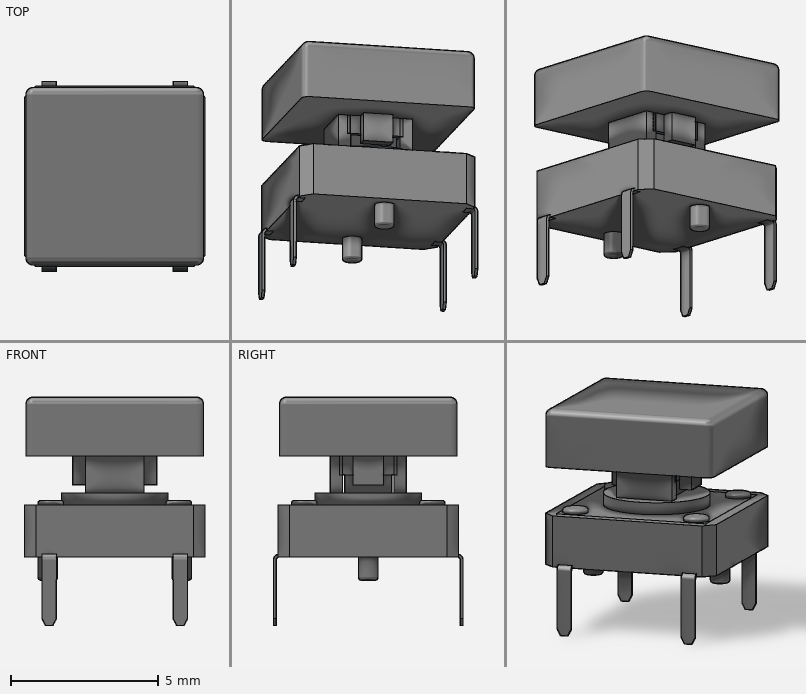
import cadquery as cq

housing_side = 6.14
housing_height = 1.77
housing_corner = 0.39
housing_bottom = 2.33
housing_top = housing_bottom + housing_height
peg_diameter = 0.67
peg_length = 0.79
peg_edge = 0.1
peg_offset = 2.27

plate_side = 5.37
plate_thickness = 0.2
plate_bottom = housing_top - plate_thickness
rivet_diameter = 0.87
rivet_height = 0.155
rivet_edge = 0.09
rivet_offset = 2.17
collar_diameter = 3.63
collar_height = 0.41
collar_top = housing_top + collar_height
post_side = 1.6

total_height = 7.76
cap_side = 6.04
cap_height = 2.0
cap_round = 0.25
cap_bottom = total_height - cap_height
long_leg_width = 2.0
long_leg_inner = 0.87
long_leg_outer = 1.295
short_leg_width = 1.025
short_leg_outer = 1.43
short_leg_bottom = 4.78

head_length = long_leg_width
head_width = 2 * long_leg_inner
head_bottom = 5.12
head_height = cap_bottom - head_bottom
ear_length = 1.925
ear_span = 1.94

lead_span = 6.45
lead_width = 0.5
lead_thickness = 0.1
lead_bend = 0.2
lead_foot = 0.2
lead_offset = 2.23
lead_tip_width = 0.25
lead_tip_height = 0.23
lead_top = housing_bottom + lead_thickness

both_sides = (-1, 1)


def block(x_size, y_size, z_size, bottom, x=0, y=0):
    """Upright box centred on (x, y), standing on the given level."""
    return cq.Workplane("XY").box(x_size, y_size, z_size, centered=(True, True, False)).translate((x, y, bottom))


def make_head():
    """Rectangular head with a narrower ear on each side."""
    core = block(head_length, head_width, head_height, head_bottom)
    ears = block(ear_length, ear_span, head_height, head_bottom)
    return core.union(ears)


def make_cover():
    """Plate, rivet heads, collar, post and head as one body."""
    plate = block(plate_side, plate_side, plate_thickness, plate_bottom)
    rivets = (
        cq.Workplane("XY", origin=(0, 0, housing_top))
        .rect(2 * rivet_offset, 2 * rivet_offset, forConstruction=True)
        .vertices()
        .circle(rivet_diameter / 2)
        .extrude(rivet_height)
        .faces(">Z")
        .edges()
        .fillet(rivet_edge)
    )
    collar = cq.Workplane("XY", origin=(0, 0, housing_top)).circle(collar_diameter / 2).extrude(collar_height)
    post = block(post_side, post_side, head_bottom - collar_top, collar_top)
    return plate.union(rivets).union(collar).union(post).union(make_head())


def make_cap():
    """Rounded cap whose four legs grip the head."""
    cap = block(cap_side, cap_side, cap_height, cap_bottom).edges("|Z or >Z").fillet(cap_round)
    long_leg_thickness = long_leg_outer - long_leg_inner
    long_leg_centre = (long_leg_outer + long_leg_inner) / 2
    short_leg_inner = head_length / 2
    short_leg_thickness = short_leg_outer - short_leg_inner
    short_leg_centre = (short_leg_outer + short_leg_inner) / 2
    for side in both_sides:
        long_leg = block(
            long_leg_width, long_leg_thickness, cap_bottom - collar_top, collar_top, y=side * long_leg_centre
        )
        short_leg = block(
            short_leg_thickness, short_leg_width, cap_bottom - short_leg_bottom, short_leg_bottom,
            x=side * short_leg_centre,
        )
        cap = cap.union(long_leg).union(short_leg)
    notches = block(long_leg_width, ear_span, head_height, head_bottom)
    return cap.cut(notches)


def make_lead(x, side):
    """One lead: a foot in the housing floor, a bend, and a leg with a tapered tip."""
    outer = lead_span / 2
    inner = outer - lead_thickness
    bend_y = outer - lead_bend
    bend_z = lead_top - lead_bend
    foot_end = bend_y - lead_foot
    inner_bend = lead_bend - lead_thickness
    strip = (
        cq.Workplane("YZ")
        .moveTo(foot_end, lead_top)
        .lineTo(bend_y, lead_top)
        .radiusArc((outer, bend_z), lead_bend)
        .lineTo(outer, 0)
        .lineTo(inner, 0)
        .lineTo(inner, bend_z)
        .radiusArc((bend_y, housing_bottom), -inner_bend)
        .lineTo(foot_end, housing_bottom)
        .close()
        .extrude(lead_width / 2, both=True)
    )
    outline = (
        cq.Workplane("XZ")
        .moveTo(-lead_width / 2, lead_top)
        .lineTo(lead_width / 2, lead_top)
        .lineTo(lead_width / 2, lead_tip_height)
        .lineTo(lead_tip_width / 2, 0)
        .lineTo(-lead_tip_width / 2, 0)
        .lineTo(-lead_width / 2, lead_tip_height)
        .close()
        .extrude(-lead_span)
    )
    lead = strip.intersect(outline)
    if side < 0:
        lead = lead.mirror("XZ")
    return lead.translate((x, 0, 0))


def make_housing(cover, leads):
    """Block with pegs, recessed for the cover plate and the lead feet."""
    housing = block(housing_side, housing_side, housing_height, housing_bottom).edges("|Z").chamfer(housing_corner)
    pegs = (
        cq.Workplane("XY", origin=(0, 0, housing_bottom))
        .pushPoints([(side * peg_offset, 0) for side in both_sides])
        .circle(peg_diameter / 2)
        .extrude(-peg_length)
        .faces("<Z")
        .edges()
        .fillet(peg_edge)
    )
    housing = housing.union(pegs).cut(cover)
    for lead in leads:
        housing = housing.cut(lead)
    return housing


cover = make_cover()
cap = make_cap()
leads = [make_lead(x_side * lead_offset, y_side) for x_side in both_sides for y_side in both_sides]
housing = make_housing(cover, leads)

result = cq.Compound.makeCompound(
    [housing.val(), cover.val(), cap.val(), *[lead.val() for lead in leads]]
)